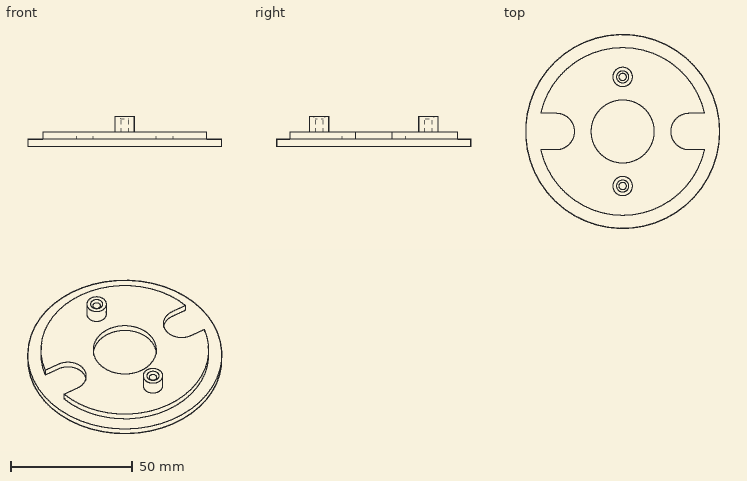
import cadquery as cq

base_diameter = 80.0
base_thickness = 3.0

plate_diameter = 69.1
plate_thickness = 3.0
recess_diameter = 26.0
notch_width = 15.0
notch_gap = 39.7

total_height = 12.4
boss_diameter = 8.0
boss_spacing = 45.0
hole_diameter = 3.0
countersink_diameter = 5.0
countersink_depth = 1.0

plate_top = base_thickness + plate_thickness
boss_height = total_height - plate_top
boss_centers = [(0, -boss_spacing / 2), (0, boss_spacing / 2)]


def make_base():
    return cq.Workplane("XY").circle(base_diameter / 2).extrude(base_thickness)


def make_notch(side):
    """Round-ended cutter, open to the plate rim; side is -1 or 1 along X."""
    radius = notch_width / 2
    center_x = side * (notch_gap / 2 + radius)
    rim_x = side * base_diameter / 2
    return (
        cq.Workplane("XY")
        .workplane(offset=base_thickness)
        .moveTo(rim_x, -radius)
        .lineTo(center_x, -radius)
        .threePointArc((side * notch_gap / 2, 0), (center_x, radius))
        .lineTo(rim_x, radius)
        .close()
        .extrude(plate_thickness)
    )


def make_plate():
    plate = (
        cq.Workplane("XY")
        .workplane(offset=base_thickness)
        .circle(plate_diameter / 2)
        .circle(recess_diameter / 2)
        .extrude(plate_thickness)
    )
    for side in (-1, 1):
        plate = plate.cut(make_notch(side))
    return plate


def make_bosses():
    """Bosses with blind holes reaching the plate top, countersunk at the mouth."""
    bosses = (
        cq.Workplane("XY")
        .workplane(offset=plate_top)
        .pushPoints(boss_centers)
        .circle(boss_diameter / 2)
        .circle(hole_diameter / 2)
        .extrude(boss_height)
    )
    for x, y in boss_centers:
        countersink = cq.Solid.makeCone(
            hole_diameter / 2,
            countersink_diameter / 2,
            countersink_depth,
            pnt=cq.Vector(x, y, total_height - countersink_depth),
        )
        bosses = bosses.cut(cq.Workplane(countersink))
    return bosses


result = make_base().union(make_plate()).union(make_bosses())